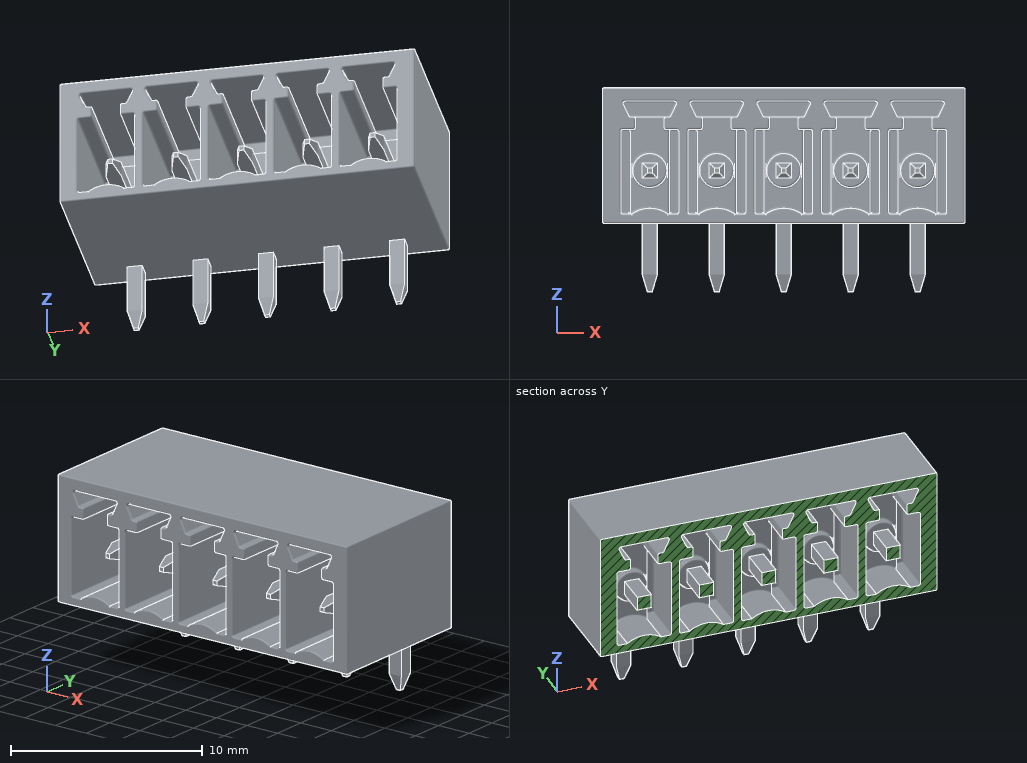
import cadquery as cq
import math

HOUSING_WIDTH = 18.945
HOUSING_DEPTH = 9.14
HOUSING_HEIGHT = 7.11
HOUSING_EDGE_RADIUS = 0.1

POLE_COUNT = 5
PITCH = 3.5
POLE_POSITIONS = [(pole - (POLE_COUNT - 1) / 2) * PITCH for pole in range(POLE_COUNT)]
PIN_WIDTH = 0.8
PIN_TIP_WIDTH = 0.26
PIN_TIP_LENGTH = 0.9
CONTACT_HEIGHT = 2.78
CONTACT_RECESS = 1.1
LEG_LENGTH = 3.56
LEG_TO_BACK = 1.27
LEG_Y = HOUSING_DEPTH - LEG_TO_BACK

SOCKET_RADIUS = 0.1
CORNER_RADIUS = 0.11
BACK_WALL = 2.1
SOCKET_DEPTH = HOUSING_DEPTH - BACK_WALL
SLOT_HALF_WIDTH = 1.515
SLOT_FLOOR = 0.51
SLOT_CEILING = 4.92
ARCH_HALF_WIDTH = 0.95
ARCH_TOP = 0.81
NECK_HALF_WIDTH = 0.75
KEY_FLOOR = 5.58
KEY_CEILING = 6.4
KEY_FLOOR_HALF_WIDTH = 1.07
KEY_CEILING_HALF_WIDTH = 1.46

RIB_HALF_WIDTH = 1.02
RIB_HEIGHT = 0.4
RIB_FACE_Y = SOCKET_DEPTH - RIB_HEIGHT
COLLAR_DIAMETER = 1.78
COLLAR_RADIUS = COLLAR_DIAMETER / 2
COLLAR_HEIGHT = 0.3

POSITION_TOLERANCE = 0.001


def make_block(width):
    """Block with the housing's depth and height, centred on X."""
    return cq.Workplane("XY").box(width, HOUSING_DEPTH, HOUSING_HEIGHT, centered=(True, False, False))


def make_housing():
    """Outer body with all its edges rounded."""
    return make_block(HOUSING_WIDTH).edges().fillet(HOUSING_EDGE_RADIUS)


def make_socket():
    """Cavity of one pole at X = 0: two side slots, a neck and a dovetail key above it."""
    outline = (
        cq.Workplane("XZ")
        .moveTo(-SLOT_HALF_WIDTH, SLOT_FLOOR)
        .lineTo(-ARCH_HALF_WIDTH, SLOT_FLOOR)
        .threePointArc((0, ARCH_TOP), (ARCH_HALF_WIDTH, SLOT_FLOOR))
        .lineTo(SLOT_HALF_WIDTH, SLOT_FLOOR)
        .lineTo(SLOT_HALF_WIDTH, SLOT_CEILING)
        .lineTo(NECK_HALF_WIDTH, SLOT_CEILING)
        .lineTo(NECK_HALF_WIDTH, KEY_FLOOR)
        .lineTo(KEY_FLOOR_HALF_WIDTH, KEY_FLOOR)
        .lineTo(KEY_CEILING_HALF_WIDTH, KEY_CEILING)
        .lineTo(-KEY_CEILING_HALF_WIDTH, KEY_CEILING)
        .lineTo(-KEY_FLOOR_HALF_WIDTH, KEY_FLOOR)
        .lineTo(-NECK_HALF_WIDTH, KEY_FLOOR)
        .lineTo(-NECK_HALF_WIDTH, SLOT_CEILING)
        .lineTo(-SLOT_HALF_WIDTH, SLOT_CEILING)
        .close()
    )
    cavity = outline.extrude(-SOCKET_DEPTH)
    cavity = cavity.edges("|Y").filter(is_rounded_corner).fillet(CORNER_RADIUS)
    cavity = cavity.cut(make_rib())
    cavity = cavity.edges().filter(is_rib_face_border).fillet(SOCKET_RADIUS)
    cavity = cavity.faces(">Y").edges().fillet(SOCKET_RADIUS)
    return cavity.cut(make_collar())


def is_close(a, b):
    return abs(a - b) < POSITION_TOLERANCE


def is_rounded_corner(edge):
    """True for every lengthwise corner of the cavity but the two ends of the floor arch."""
    return not is_close(abs(edge.Center().x), ARCH_HALF_WIDTH)


def is_rib_face_border(edge):
    """True where the rib's face meets the cavity walls, not where it runs into its own rounding."""
    center = edge.Center()
    on_rib_face = is_close(center.y, RIB_FACE_Y)
    on_side_rounding = is_close(abs(center.x), RIB_HALF_WIDTH - SOCKET_RADIUS)
    on_top_rounding = is_close(center.z, KEY_FLOOR - SOCKET_RADIUS)
    return on_rib_face and not on_side_rounding and not on_top_rounding


def make_rib():
    """Raised middle of the socket's back wall, ending level with the key floor."""
    rib = (
        cq.Workplane("XY")
        .box(2 * RIB_HALF_WIDTH, RIB_HEIGHT, KEY_FLOOR, centered=(True, False, False))
        .translate((0, RIB_FACE_Y, 0))
    )
    return rib.faces("<Y").edges("|Z or >Z").fillet(SOCKET_RADIUS)


def make_collar():
    """Round collar with a rounded rim and a coved foot, trimmed to the rib's flat face."""
    foot_radius = COLLAR_RADIUS + SOCKET_RADIUS
    rim_radius = COLLAR_RADIUS - SOCKET_RADIUS
    arc_rise = SOCKET_RADIUS * (1 - math.sqrt(0.5))
    foot_arc_middle = (COLLAR_RADIUS + arc_rise, arc_rise)
    rim_arc_middle = (COLLAR_RADIUS - arc_rise, COLLAR_HEIGHT - arc_rise)
    profile = (
        cq.Workplane("XY")
        .lineTo(foot_radius, 0)
        .threePointArc(foot_arc_middle, (COLLAR_RADIUS, SOCKET_RADIUS))
        .lineTo(COLLAR_RADIUS, COLLAR_HEIGHT - SOCKET_RADIUS)
        .threePointArc(rim_arc_middle, (rim_radius, COLLAR_HEIGHT))
        .lineTo(0, COLLAR_HEIGHT)
        .close()
    )
    collar = profile.revolve(360, (0, 0, 0), (0, 1, 0)).rotate((0, 0, 0), (1, 0, 0), 180)
    flat_width = 2 * (RIB_HALF_WIDTH - SOCKET_RADIUS)
    trim = cq.Workplane("XY").box(flat_width, 2 * COLLAR_HEIGHT, 2 * foot_radius)
    return collar.intersect(trim).translate((0, RIB_FACE_Y, CONTACT_HEIGHT))


def tapered_tip():
    """Square pyramid frustum standing on the XY plane."""
    return (
        cq.Workplane("XY")
        .rect(PIN_WIDTH, PIN_WIDTH)
        .workplane(offset=PIN_TIP_LENGTH)
        .rect(PIN_TIP_WIDTH, PIN_TIP_WIDTH)
        .loft(ruled=True)
    )


def make_pin(length):
    """Square pin of the given overall length along +Z with a tapered end."""
    shank_length = length - PIN_TIP_LENGTH
    shank = cq.Workplane("XY").box(PIN_WIDTH, PIN_WIDTH, shank_length, centered=(True, True, False))
    return shank.union(tapered_tip().translate((0, 0, shank_length)))


def make_contact():
    """L-shaped contact: a pin towards the mating face and a leg through the board side."""
    pin = make_pin(LEG_Y - CONTACT_RECESS).rotate((0, 0, 0), (1, 0, 0), 90)
    leg = make_pin(CONTACT_HEIGHT + LEG_LENGTH).rotate((0, 0, 0), (1, 0, 0), 180)
    return pin.union(leg).translate((0, LEG_Y, CONTACT_HEIGHT))


def add_rounded_mouth(cavity):
    """Widen a cavity so that what it leaves around its mouth has a rounded rim."""
    block = make_block(PITCH)
    pierced_block = block.cut(cavity)
    rim = pierced_block.faces("<Y").vals()[0].innerWires()[0]
    rounded_block = pierced_block.newObject(rim.Edges()).fillet(SOCKET_RADIUS)
    return block.cut(rounded_block)


socket = add_rounded_mouth(make_socket())
contact = make_contact()
result = make_housing()
for x in POLE_POSITIONS:
    result = result.cut(socket.translate((x, 0, 0)))
for x in POLE_POSITIONS:
    result = result.union(contact.translate((x, 0, 0)))